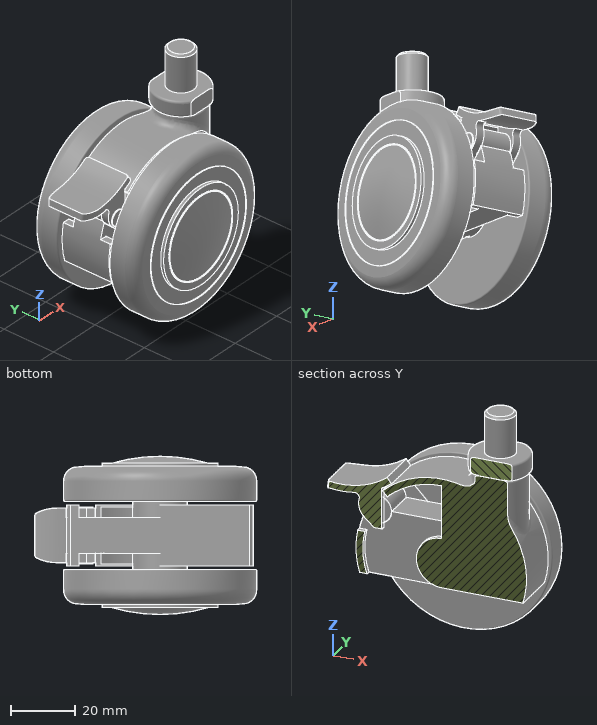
import cadquery as cq
import math


wheel_radius = 30.0
wheel_inner_y = 10.5
wheel_tread_end_y = 16.9
wheel_inner_edge_fillet = 0.5
shoulder_radius = 4.4
shoulder_end_angle = math.radians(75)
side_rim_radius = 23.0
side_rim_y = 21.5
side_recess_depth = 0.3
disc_radius = 18.0
disc_y = 22.4
dome_radius = 15.0
dome_apex_y = 49.14 / 2
dome_groove_width = 0.3
dome_groove_depth = 0.4

drum_radius = 29.0
drum_half_width = 9.5
drum_bottom_z = -8.5
hub_radius = 8.5
shell_inner_radius = 26.5
pocket_half_width = 8.85
roof_end_x = -20.0
lip_top_z = 6.0
rib_half_width = 5.6
neck_x = 17.0
neck_radius = 9.0
neck_top_z = 32.5
neck_top_fillet = 1.0
neck_root_fillet = 3.0

collar_radius = 10.0
collar_height = 6.0
collar_fillet = 1.0
collar_across_flats = 17.0
stud_radius = 5.0
stud_top_z = 52.5
stud_chamfer = 0.8

lever_half_width = 8.5
lever_thickness = 2.5
lever_tip_x = -38.87
lever_top_radius = 26.0
lever_arc_x = -34.0
lever_arc_z = 46.7
lever_heel_x = -18.3
lever_heel_corner_radius = 1.2
lever_tip_corner_radius = 1.0
lever_taper_start_x = -32.0
lever_taper_radius = 14.0
leg_center_x = -22.2
leg_center_z = 15.2
leg_radius = 5.9
leg_arc_start_angle = math.radians(165)
leg_arc_end_angle = math.radians(228)
leg_bottom_z = 7.8
leg_back_gap = 0.1
leg_root_fillet = 1.5
barrel_z = 13.8
barrel_radius = 4.7
barrel_clearance = 0.1
boss_x = -23.7
boss_z = 13.1
boss_radius = 2.85
boss_height = 0.3

LARGE = 100.0


def cylinder_along_y(radius, half_length, x=0.0, z=0.0):
    """Cylinder along Y, centred on the XZ plane."""
    return cq.Workplane("XZ", origin=(x, half_length, z)).circle(radius).extrude(2 * half_length)


def block(x_range, y_range, z_range):
    """Axis-aligned box between the given limits."""
    size = [high - low for low, high in (x_range, y_range, z_range)]
    corner = (x_range[0], y_range[0], z_range[0])
    return cq.Workplane("XY").box(*size, centered=False).translate(corner)


def make_wheel(side):
    """Wheel revolved about the axle; side is +1 or -1 along Y."""
    shoulder_center_r = wheel_radius - shoulder_radius

    def shoulder_point(angle):
        return (
            shoulder_center_r + shoulder_radius * math.cos(angle),
            wheel_tread_end_y + shoulder_radius * math.sin(angle),
        )

    groove_outer_radius = dome_radius + dome_groove_width
    groove_floor_y = disc_y - dome_groove_depth
    recess_y = side_rim_y - side_recess_depth
    dome_rise = dome_apex_y - disc_y
    dome_sphere_radius = (dome_radius**2 + dome_rise**2) / (2 * dome_rise)
    dome_mid_r = dome_radius / 2
    dome_mid_y = dome_apex_y - dome_sphere_radius + math.sqrt(dome_sphere_radius**2 - dome_mid_r**2)

    wheel = (
        cq.Workplane("XY")
        .moveTo(0, wheel_inner_y)
        .lineTo(wheel_radius, wheel_inner_y)
        .lineTo(wheel_radius, wheel_tread_end_y)
        .threePointArc(shoulder_point(shoulder_end_angle / 2), shoulder_point(shoulder_end_angle))
        .lineTo(side_rim_radius, side_rim_y)
        .lineTo(side_rim_radius, recess_y)
        .lineTo(disc_radius, recess_y)
        .lineTo(disc_radius, disc_y)
        .lineTo(groove_outer_radius, disc_y)
        .lineTo(groove_outer_radius, groove_floor_y)
        .lineTo(dome_radius, groove_floor_y)
        .lineTo(dome_radius, disc_y)
        .threePointArc((dome_mid_r, dome_mid_y), (0, dome_apex_y))
        .close()
        .revolve(360, (0, 0, 0), (0, 1, 0))
        .faces("<Y")
        .edges()
        .fillet(wheel_inner_edge_fillet)
    )
    return wheel if side > 0 else wheel.mirror("XZ")


def make_drum_with_neck():
    """Drum and upright neck with a blended root, trimmed to the drum width and flat bottom."""
    drum = cylinder_along_y(drum_radius, LARGE / 2)
    neck = (
        cq.Workplane("XY")
        .center(neck_x, 0)
        .circle(neck_radius)
        .extrude(neck_top_z)
        .faces(">Z")
        .edges()
        .fillet(neck_top_fillet)
    )
    root_zone = cq.selectors.BoxSelector(
        (neck_x - neck_radius, -neck_radius, hub_radius),
        (neck_x + neck_radius, neck_radius, drum_radius),
    )
    body = drum.union(neck).edges(root_zone).fillet(neck_root_fillet)
    envelope = block((-LARGE, LARGE), (-drum_half_width, drum_half_width), (drum_bottom_z, LARGE))
    return body.intersect(envelope)


def make_lever_opening():
    """Space removed from the drum for the brake lever."""
    full_width = (-drum_half_width, drum_half_width)
    shell_bore = cylinder_along_y(shell_inner_radius, LARGE / 2)

    cavity = block((-LARGE, 0), (-pocket_half_width, pocket_half_width), (-LARGE, LARGE))
    side_gap = block((-LARGE, 0), full_width, (-LARGE, hub_radius))
    front_gap = block((-LARGE, roof_end_x), full_width, (-LARGE, LARGE))
    cavity = cavity.union(side_gap).union(front_gap).intersect(shell_bore)

    roof_end_z = math.sqrt(drum_radius**2 - roof_end_x**2)
    window_outer_x = 2 * roof_end_x
    window_outer_z = 2 * roof_end_z
    window = (
        cq.Workplane("XZ")
        .moveTo(roof_end_x * lip_top_z / roof_end_z, lip_top_z)
        .lineTo(window_outer_x, window_outer_z)
        .lineTo(window_outer_x, lip_top_z)
        .close()
        .extrude(drum_half_width, both=True)
    )

    barrel_seat_radius = barrel_radius + barrel_clearance
    rib = block((-LARGE, 0), (-rib_half_width, rib_half_width), (-LARGE, barrel_z))
    rib = rib.cut(cylinder_along_y(barrel_seat_radius, LARGE / 2, leg_center_x, barrel_z))
    hub = cylinder_along_y(hub_radius, LARGE / 2)
    return cavity.union(window).cut(rib).cut(hub)


def make_housing():
    hub = cylinder_along_y(hub_radius, wheel_inner_y)
    return make_drum_with_neck().cut(make_lever_opening()).union(hub)


def make_stem():
    """Wrench collar with two flats, seated on the neck, and the stud above it."""
    collar = (
        cq.Workplane("XY", origin=(neck_x, 0, neck_top_z))
        .circle(collar_radius)
        .extrude(collar_height)
        .edges()
        .fillet(collar_fillet)
    )
    half_flats = collar_across_flats / 2
    collar = collar.intersect(block((-LARGE, LARGE), (-half_flats, half_flats), (0, LARGE)))
    stud = (
        cq.Workplane("XY", origin=(neck_x, 0, neck_top_z + collar_height))
        .circle(stud_radius)
        .extrude(stud_top_z - neck_top_z - collar_height)
        .faces(">Z")
        .chamfer(stud_chamfer)
    )
    return collar.union(stud)


def arc_point(radius, angle):
    """Point on a circle about the centre of the lever's hollow top."""
    return (lever_arc_x + radius * math.cos(angle), lever_arc_z + radius * math.sin(angle))


def make_lever_plate():
    """Curved pedal plate with a tapered tip and rounded heel corners."""
    under_radius = lever_top_radius + lever_thickness
    heel_angle = -math.acos((lever_heel_x - lever_arc_x) / lever_top_radius)
    tip_angle = -math.pi / 2 - math.asin((lever_arc_x - lever_tip_x) / under_radius)
    mid_angle = (heel_angle + tip_angle) / 2
    plate = (
        cq.Workplane("XZ")
        .moveTo(*arc_point(lever_top_radius, tip_angle))
        .threePointArc(arc_point(lever_top_radius, mid_angle), arc_point(lever_top_radius, heel_angle))
        .lineTo(*arc_point(under_radius, heel_angle))
        .threePointArc(arc_point(under_radius, mid_angle), arc_point(under_radius, tip_angle))
        .close()
        .extrude(lever_half_width, both=True)
        .faces(">X")
        .edges("not |Y")
        .fillet(lever_heel_corner_radius)
    )

    taper_center_y = lever_half_width - lever_taper_radius
    taper_ends = block((-LARGE, lever_taper_start_x), (-lever_half_width, lever_half_width), (0, LARGE))
    for side in (1, -1):
        taper_cylinder = (
            cq.Workplane("XY")
            .center(lever_taper_start_x, side * taper_center_y)
            .circle(lever_taper_radius)
            .extrude(LARGE)
        )
        taper_ends = taper_ends.intersect(taper_cylinder)
    untapered = block((lever_taper_start_x, 0), (-lever_half_width, lever_half_width), (0, LARGE))
    plate = plate.intersect(taper_ends.union(untapered))
    return plate.faces("<X").edges("not |Y").fillet(lever_tip_corner_radius)


def make_lever_legs():
    """Two side legs under the plate, with pivot bosses on their outer faces."""
    leg_back_x = roof_end_x - leg_back_gap

    def leg_point(radius, angle):
        return (leg_center_x + radius * math.cos(angle), leg_center_z + radius * math.sin(angle))

    root_x, root_center_z = leg_point(leg_radius + leg_root_fillet, leg_arc_start_angle)
    root_mid_angle = (math.pi / 2 + leg_arc_start_angle - math.pi) / 2
    root_mid = (
        root_x + leg_root_fillet * math.cos(root_mid_angle),
        root_center_z + leg_root_fillet * math.sin(root_mid_angle),
    )
    leg_mid_angle = (leg_arc_start_angle + leg_arc_end_angle) / 2
    arc_end_x, arc_end_z = leg_point(leg_radius, leg_arc_end_angle)
    toe_x = arc_end_x + (arc_end_z - leg_bottom_z) * math.tan(leg_arc_end_angle)

    plate_middle_radius = lever_top_radius + lever_thickness / 2

    def plate_middle_z(x):
        return lever_arc_z - math.sqrt(plate_middle_radius**2 - (x - lever_arc_x) ** 2)

    middle_x = (root_x + leg_back_x) / 2
    profile = (
        cq.Workplane("XZ", origin=(0, lever_half_width, 0))
        .moveTo(root_x, root_center_z + leg_root_fillet)
        .threePointArc(root_mid, leg_point(leg_radius, leg_arc_start_angle))
        .threePointArc(leg_point(leg_radius, leg_mid_angle), (arc_end_x, arc_end_z))
        .lineTo(toe_x, leg_bottom_z)
        .lineTo(leg_back_x, leg_bottom_z)
        .lineTo(leg_back_x, plate_middle_z(leg_back_x))
        .threePointArc((middle_x, plate_middle_z(middle_x)), (root_x, plate_middle_z(root_x)))
        .close()
    )
    bosses = cylinder_along_y(boss_radius, lever_half_width + boss_height, boss_x, boss_z)
    between_legs = block((-LARGE, LARGE), (-rib_half_width, rib_half_width), (-LARGE, LARGE))
    return profile.extrude(2 * lever_half_width).union(bosses).cut(between_legs)


def make_lever():
    barrel = cylinder_along_y(barrel_radius, rib_half_width, leg_center_x, barrel_z)
    return make_lever_plate().union(make_lever_legs()).union(barrel)


wheels = [make_wheel(side) for side in (1, -1)]
housing = make_housing()
stem = make_stem()
lever = make_lever()

wheel_solids = [wheel.val() for wheel in wheels]
result = cq.Compound.makeCompound([*wheel_solids, housing.val(), stem.val(), lever.val()])